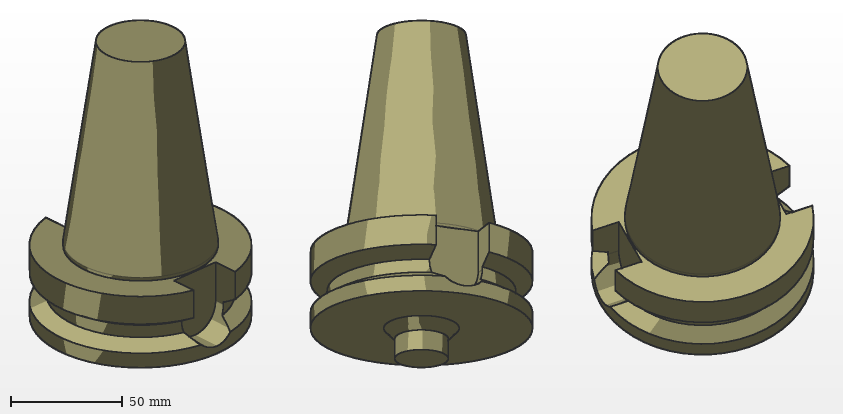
import cadquery as cq

flange_diameter = 100.0
groove_diameter = 85.0
taper_base_diameter = 69.9
stub_diameter = 24.0
collar_diameter = 34.0
taper_ratio = 7 / 24

stub_top = 9.4
flange_bottom = 14.5
lower_rim_top = 21.9
groove_floor_bottom = 26.0
groove_floor_top = 32.2
upper_rim_bottom = 36.7
flange_top = 50.8
taper_base = 52.6
overall_height = 154.3

slot_width = 25.8
slot_bottom = 18.4
slot_face_distance = 35.5

taper_top_diameter = taper_base_diameter - taper_ratio * (overall_height - taper_base)


def holder_body():
    """Revolve the half profile of stub, grooved flange and taper about Z."""
    stations = [
        (stub_diameter, 0),
        (stub_diameter, stub_top),
        (collar_diameter, flange_bottom),
        (flange_diameter, flange_bottom),
        (flange_diameter, lower_rim_top),
        (groove_diameter, groove_floor_bottom),
        (groove_diameter, groove_floor_top),
        (flange_diameter, upper_rim_bottom),
        (flange_diameter, flange_top),
        (taper_base_diameter, flange_top),
        (taper_base_diameter, taper_base),
        (taper_top_diameter, overall_height),
    ]
    outline = [(diameter / 2, height) for diameter, height in stations]
    profile = cq.Workplane("XZ").polyline([(0, 0)] + outline + [(0, overall_height)]).close()
    return profile.revolve(360, (0, 0, 0), (0, 1, 0))


def drive_slot_cutter(side):
    """Round-bottomed slot open at the flange top and rim; side is -1 or +1 along X."""
    half_width = slot_width / 2
    arc_center_height = slot_bottom + half_width
    slot_depth = flange_diameter / 2 - slot_face_distance
    return (
        cq.Workplane("YZ")
        .workplane(offset=side * slot_face_distance)
        .moveTo(-half_width, flange_top)
        .lineTo(-half_width, arc_center_height)
        .threePointArc((0, slot_bottom), (half_width, arc_center_height))
        .lineTo(half_width, flange_top)
        .close()
        .extrude(side * slot_depth)
    )


result = holder_body()
for side in (-1, 1):
    result = result.cut(drive_slot_cutter(side))